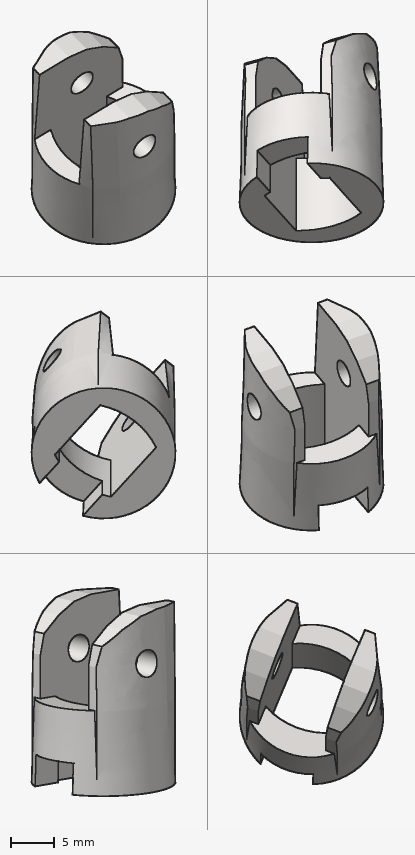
import cadquery as cq
import math

BASE_HEIGHT = 9.9
BASE_BOTTOM_RADIUS = 8.241
BASE_TOP_RADIUS = 7.91

GAP = 8.31
OPENING_CENTER_Y = -0.35
OPENING_HALF_LENGTH = 5.03
OPENING_END_RISE = 0.99

NOTCH_WIDTH = 6.45
NOTCH_HEIGHT = 3.68

HEIGHT = 21.05
ARM_BACK_Y = 5.95
ARM_FRONT_Y = -5.92
ARM_TOP_FRONT_Y = -6.02
ARM_FACET_Y = -3.26
ARM_INNER_X = GAP / 2

ROOT_BACK_X = 5.6
ROOT_SIDE_X = 7.98
ROOT_FACET_X = 7.33
ROOT_FRONT_X = 5.68
TOP_BACK_X = 5.3
TOP_SIDE_X = 7.35
TOP_FACET_X = 6.78
TOP_FRONT_X = 5.4

CROWN_BACK = (ARM_BACK_Y, 14.99)
CROWN_SHOULDER = (5.39, 17.4)
CROWN_MIDDLE = (3.15, 19.26)
CROWN_UPPER = (0.82, 20.55)
CROWN_FLAT_START = (-1.77, HEIGHT)

PIN_DIAMETER = 3.15
PIN_Y = 0.1
PIN_Z = 15.0


def make_base():
    profile = [
        (0, 0),
        (BASE_BOTTOM_RADIUS, 0),
        (BASE_TOP_RADIUS, BASE_HEIGHT),
        (0, BASE_HEIGHT),
    ]
    return cq.Workplane("XZ").polyline(profile).close().revolve(360, (0, 0), (0, 1))


def arm_section(plane, back_x, side_x, facet_x, front_point, inner_front_y):
    """Draw the +X arm outline: bowed side, one flat facet and a slanted front."""
    return (
        plane.moveTo(ARM_INNER_X, ARM_BACK_Y)
        .lineTo(back_x, ARM_BACK_Y)
        .threePointArc((side_x, 0), (facet_x, ARM_FACET_Y))
        .lineTo(*front_point)
        .lineTo(ARM_INNER_X, inner_front_y)
        .close()
    )


def make_arm():
    rim_y = -math.sqrt(BASE_TOP_RADIUS**2 - ARM_INNER_X**2)
    root_outline = (
        ROOT_BACK_X, ROOT_SIDE_X, ROOT_FACET_X, (ROOT_FRONT_X, ARM_FRONT_Y), rim_y
    )
    top_outline = (
        TOP_BACK_X, TOP_SIDE_X, TOP_FACET_X, (TOP_FRONT_X, ARM_TOP_FRONT_Y), ARM_TOP_FRONT_Y
    )

    root = arm_section(cq.Workplane("XY"), *root_outline).extrude(BASE_HEIGHT)
    taper = arm_section(cq.Workplane("XY", origin=(0, 0, BASE_HEIGHT)), *root_outline)
    taper = taper.workplane(offset=HEIGHT - BASE_HEIGHT)
    taper = arm_section(taper, *top_outline).loft(ruled=True, combine=True)
    return root.union(taper)


def make_crown_cutter():
    waste_corner = (ARM_BACK_Y, HEIGHT)
    outline = [
        CROWN_BACK,
        CROWN_SHOULDER,
        CROWN_MIDDLE,
        CROWN_UPPER,
        CROWN_FLAT_START,
        waste_corner,
    ]
    return cq.Workplane("YZ").polyline(outline).close().extrude(BASE_BOTTOM_RADIUS, both=True)


def make_opening():
    corner_rise = OPENING_HALF_LENGTH - OPENING_END_RISE
    back_corner_y = OPENING_CENTER_Y + corner_rise
    front_corner_y = OPENING_CENTER_Y - corner_rise
    back_y = OPENING_CENTER_Y + OPENING_HALF_LENGTH
    front_y = OPENING_CENTER_Y - OPENING_HALF_LENGTH
    return (
        cq.Workplane("XY")
        .moveTo(-GAP / 2, front_corner_y)
        .threePointArc((0, front_y), (GAP / 2, front_corner_y))
        .lineTo(GAP / 2, back_corner_y)
        .threePointArc((0, back_y), (-GAP / 2, back_corner_y))
        .close()
        .extrude(BASE_HEIGHT)
    )


def make_notch():
    return cq.Workplane("XY").box(
        NOTCH_WIDTH, BASE_BOTTOM_RADIUS, NOTCH_HEIGHT, centered=(True, False, False)
    )


def make_pin_hole():
    return (
        cq.Workplane("YZ")
        .center(PIN_Y, PIN_Z)
        .circle(PIN_DIAMETER / 2)
        .extrude(BASE_BOTTOM_RADIUS, both=True)
    )


arm = make_arm()
result = make_base().union(arm).union(arm.mirror("YZ"))
for cutter in (make_crown_cutter(), make_opening(), make_notch(), make_pin_hole()):
    result = result.cut(cutter)